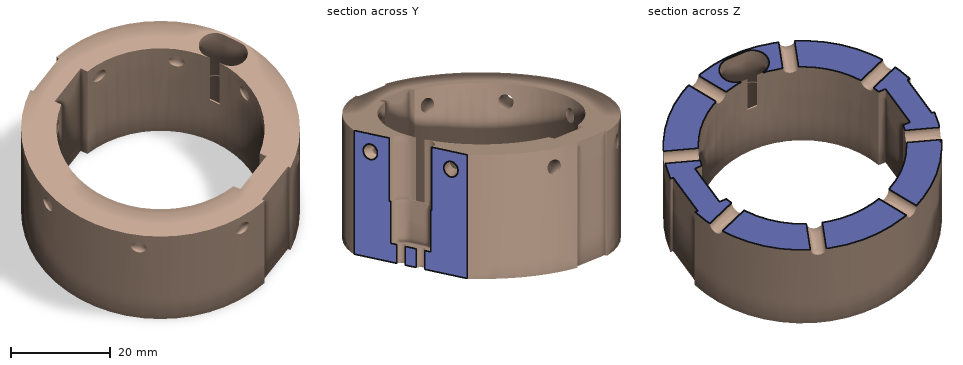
import cadquery as cq

outer_radius = 27.9
bore_radius = 20.8
height = 26.0

flat_width = 10.0
outer_flat_x = 26.85
keyway_x = 21.75

radial_hole_count = 8
radial_hole_diameter = 3.1
radial_hole_drop = 3.8

pocket_y = 24.05
pocket_straight = 3.85
upper_pocket_width = 6.55
upper_pocket_depth = 13.2
pocket_ledge = 0.3
pocket_floor = 4.0
wire_hole_diameter = 2.0
wire_hole_spacing = 4.85


def make_ring():
    """Plain ring standing on the XY plane."""
    return cq.Workplane("XY").circle(outer_radius).circle(bore_radius).extrude(height)


def side_slots():
    """Boxes that cut the two outer flats and the two bore keyways."""
    keyways = cq.Workplane("XY").rect(2 * keyway_x, flat_width).extrude(height)
    band = cq.Workplane("XY").rect(2 * outer_radius, flat_width).extrude(height)
    core = cq.Workplane("XY").rect(2 * outer_flat_x, flat_width).extrude(height)
    return keyways.union(band.cut(core))


def radial_holes():
    """Evenly spaced radial holes, offset half a pitch from the X axis."""
    pitch = 360 / radial_hole_count
    drill = (
        cq.Workplane("YZ")
        .center(0, height - radial_hole_drop)
        .circle(radial_hole_diameter / 2)
        .extrude(outer_radius)
    )
    holes = cq.Workplane("XY")
    for index in range(radial_hole_count):
        angle = (index + 0.5) * pitch
        holes = holes.add(drill.rotate((0, 0, 0), (0, 0, 1), angle))
    return holes.combine()


def pocket_step(width, floor_z):
    """Round-ended slot from the given floor up to the top face."""
    return (
        cq.Workplane("XY", origin=(0, pocket_y, floor_z))
        .slot2D(pocket_straight + width, width)
        .extrude(height - floor_z)
    )


def connector_pocket():
    """Wide upper pocket, narrower lower pocket and two wire holes through the floor."""
    upper = pocket_step(upper_pocket_width, height - upper_pocket_depth)
    lower = pocket_step(upper_pocket_width - 2 * pocket_ledge, pocket_floor)
    wire_holes = (
        cq.Workplane("XY", origin=(0, pocket_y, 0))
        .rarray(wire_hole_spacing, 0.55, 2, 1)
        .circle(wire_hole_diameter / 2)
        .extrude(height)
    )
    return upper.union(lower).union(wire_holes)


result = make_ring().cut(side_slots()).cut(radial_holes()).cut(connector_pocket())